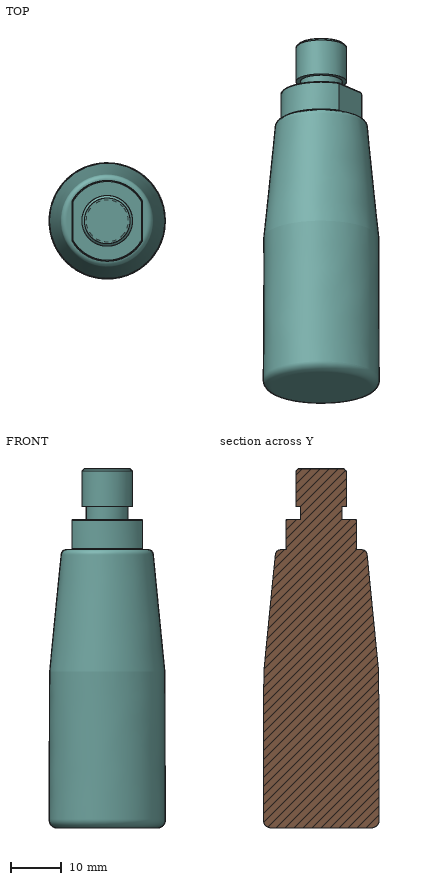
import cadquery as cq

total_height = 71.0
pin_bottom = 63.5
collar_top = 61.0
grip_top = 55.0
taper_start = 30.9

grip_bottom_diameter = 23.0
grip_middle_diameter = 22.8
grip_top_diameter = 18.0
bottom_fillet = 1.6
top_fillet = 1.15

collar_diameter = 16.0
flat_width = 14.0
collar_chamfer = 0.2

neck_diameter = 8.3
pin_diameter = 10.0
pin_chamfer = 0.5


def cylinder(diameter, bottom, top):
    """Upright cylinder on the part axis."""
    return cq.Workplane("XY").workplane(offset=bottom).circle(diameter / 2).extrude(top - bottom)


def make_grip():
    """Nearly cylindrical grip with a steeper taper towards the collar, with rounded ends."""
    profile = (
        cq.Workplane("XZ")
        .lineTo(grip_bottom_diameter / 2, 0)
        .lineTo(grip_middle_diameter / 2, taper_start)
        .lineTo(grip_top_diameter / 2, grip_top)
        .lineTo(0, grip_top)
        .close()
    )
    grip = profile.revolve(360, (0, 0, 0), (0, 1, 0))
    grip = grip.faces("<Z").edges().fillet(bottom_fillet)
    return grip.faces(">Z").edges().fillet(top_fillet)


def make_collar():
    """Round collar with chamfered rims and flats facing -X and +X."""
    collar = cylinder(collar_diameter, grip_top, collar_top)
    flats = cq.Workplane("XY").rect(flat_width, collar_diameter).extrude(total_height)
    return collar.intersect(flats).faces("<Z or >Z").edges().chamfer(collar_chamfer)


def make_pin():
    """Pin with a chamfered tip."""
    return cylinder(pin_diameter, pin_bottom, total_height).faces(">Z").edges().chamfer(pin_chamfer)


neck = cylinder(neck_diameter, collar_top, pin_bottom)
result = make_grip().union(make_collar()).union(neck).union(make_pin())